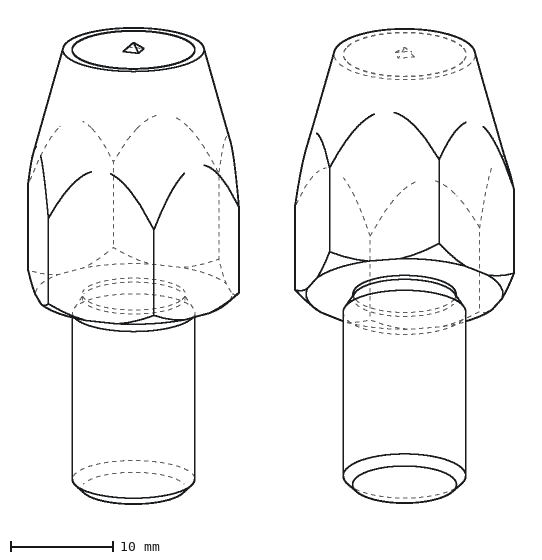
import cadquery as cq
import math

total_height = 45.8
across_flats = 18.95
nut_bottom = 19.95
nut_top = 45.05
nut_top_radius = 6.9
taper_height = 15.0
nut_chamfer_radius = 9.6
nut_chamfer_height = 1.3

stud_radius = 6.0
stud_chamfer = 0.9
neck_radius = 5.05
neck_height = 0.4
neck_cone_height = 1.5

point_base = 1.6
point_height = 0.8

corner_radius = across_flats / math.sqrt(3)
point_bottom = total_height - point_height


def hexagonal_nut():
    """Hexagonal prism trimmed by a long top taper and a short bottom chamfer."""
    prism = (
        cq.Workplane("XY")
        .workplane(offset=nut_bottom)
        .polygon(6, 2 * corner_radius)
        .extrude(nut_top - nut_bottom)
    )
    envelope = (
        cq.Workplane("XZ")
        .moveTo(0, nut_bottom)
        .lineTo(nut_chamfer_radius, nut_bottom)
        .lineTo(corner_radius, nut_bottom + nut_chamfer_height)
        .lineTo(corner_radius, nut_top - taper_height)
        .lineTo(nut_top_radius, nut_top)
        .lineTo(0, nut_top)
        .close()
        .revolve(360, (0, 0), (0, 1))
    )
    return prism.intersect(envelope)


def recess():
    """Shallow round recess of stud diameter in the top face of the nut."""
    return (
        cq.Workplane("XY")
        .workplane(offset=point_bottom)
        .circle(stud_radius)
        .extrude(nut_top - point_bottom)
    )


def stud():
    """Round stud with a chamfered lower end and a narrow neck under the nut."""
    neck_bottom = nut_bottom - neck_height
    return (
        cq.Workplane("XZ")
        .lineTo(stud_radius - stud_chamfer, 0)
        .lineTo(stud_radius, stud_chamfer)
        .lineTo(stud_radius, neck_bottom - neck_cone_height)
        .lineTo(neck_radius, neck_bottom)
        .lineTo(neck_radius, nut_bottom)
        .lineTo(0, nut_bottom)
        .close()
        .revolve(360, (0, 0), (0, 1))
    )


def square_point():
    """Four-sided pyramid standing at the centre of the recess floor."""
    half_base = point_base / 2
    side_slope = math.degrees(math.atan2(half_base, point_height))
    return (
        cq.Workplane("XY")
        .workplane(offset=point_bottom)
        .rect(point_base, point_base)
        .extrude(point_height, taper=side_slope)
    )


result = hexagonal_nut().cut(recess()).union(stud()).union(square_point())